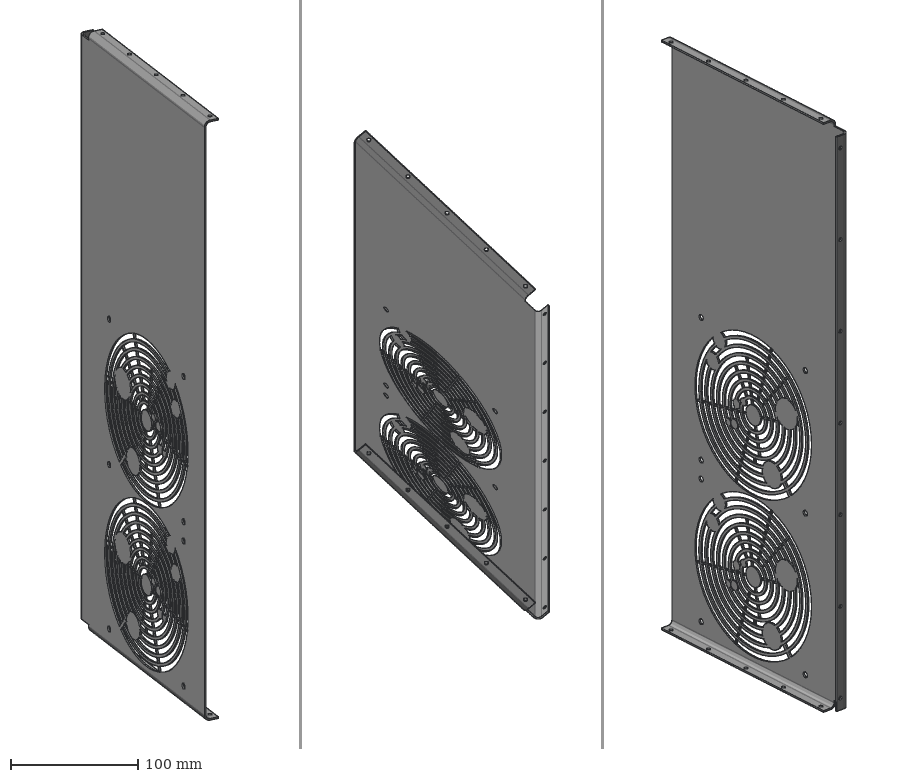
import cadquery as cq

WIDTH = 211.0
DEPTH = 12.5
HEIGHT = 517.0
SHEET = 1.5
BEND_OUTER_RADIUS = 5.0
BEND_INNER_RADIUS = BEND_OUTER_RADIUS - SHEET
THROUGH = 3 * SHEET

LEFT, RIGHT = -WIDTH / 2, WIDTH / 2
FRONT = -DEPTH / 2
TOP = HEIGHT / 2

RELIEF_WIDTH = 16.0
RELIEF_HEIGHT = 6.5

FLANGE_HOLE_DIAMETER = 3.0
FLANGE_HOLE_Y = 2.5
LEFT_HOLE_COUNT = 7
LEFT_HOLE_SPAN = 482.0
LEFT_HOLE_PITCH = LEFT_HOLE_SPAN / (LEFT_HOLE_COUNT - 1)
END_HOLE_COUNT = 5
END_HOLE_PITCH = 45.0
END_HOLES_X = (LEFT + RELIEF_WIDTH + RIGHT) / 2

FAN_X = 8.0
UPPER_FAN_Z = -37.5
FAN_PITCH = 141.5
MOUNT_HOLE_DIAMETER = 4.85
MOUNT_HOLE_SPACING = 125.0
LOWER_FAN_CORNERS = ((-1, -1), (1, -1), (1, 1))
UPPER_FAN_CORNERS = LOWER_FAN_CORNERS + ((-1, 1),)

GRILLE_DIAMETER = 140.0
GRILLE_RADIUS = GRILLE_DIAMETER / 2
SLOT_COUNT = 9
SLOT_WIDTH = 4.6
BAR_WIDTH = 2.5
SLOT_PITCH = SLOT_WIDTH + BAR_WIDTH

SPOKE_WIDTH = 1.3
WIDE_SPOKE_WIDTH = 3.0
SPOKES = (
    (58, SPOKE_WIDTH, 15.5, 41.5),
    (80, SPOKE_WIDTH, 8.0, 49.0),
    (108, SPOKE_WIDTH, 15.5, GRILLE_RADIUS),
    (130, SPOKE_WIDTH, 15.5, 63.0),
    (170, SPOKE_WIDTH, 8.0, 31.0),
    (231, WIDE_SPOKE_WIDTH, 57.0, GRILLE_RADIUS),
    (258, SPOKE_WIDTH, 8.0, 33.5),
    (268, SPOKE_WIDTH, 36.0, 42.5),
    (288, SPOKE_WIDTH, 15.5, GRILLE_RADIUS),
    (350, SPOKE_WIDTH, 8.0, GRILLE_RADIUS),
)

DISCS = (
    (-40.0, 16.0, 26.5),
    (-22.0, -44.0, 22.5),
    (41.0, 50.5, 15.0),
    (49.0, 29.5, 15.0),
    (20.0, 2.5, 8.5),
    (12.0, 7.0, 6.5),
    (22.5, -16.0, 8.5),
    (30.0, -17.0, 6.0),
)


def fan_plane():
    """Sketch plane just behind the front sheet; extrusions run through the sheet toward -Y."""
    return cq.Workplane("XZ", origin=(0, FRONT + 2 * SHEET, 0))


def left_strip():
    """Front sheet and left flange, extruded along Z between the corner reliefs."""
    length = HEIGHT - 2 * RELIEF_HEIGHT
    bend = "|Z and <X and <Y"
    block = cq.Workplane("XY", origin=(0, 0, -length / 2)).rect(WIDTH, DEPTH).extrude(length)
    outer = block.edges(bend).fillet(BEND_OUTER_RADIUS)
    inner = block.translate((SHEET, SHEET, 0)).edges(bend).fillet(BEND_INNER_RADIUS)
    return outer.cut(inner)


def main_strip():
    """Front sheet with the top and bottom flanges, extruded along X."""
    length = WIDTH - RELIEF_WIDTH
    bends = "|X and <Y"
    plane = cq.Workplane("YZ", origin=(LEFT + RELIEF_WIDTH, 0, 0))
    outer = plane.rect(DEPTH, HEIGHT).extrude(length).edges(bends).fillet(BEND_OUTER_RADIUS)
    hollow = plane.center(SHEET, 0).rect(DEPTH, HEIGHT - 2 * SHEET).extrude(length)
    return outer.cut(hollow.edges(bends).fillet(BEND_INNER_RADIUS))


def flange_holes():
    """Hole rows in the left flange and, in line, in the top and bottom flanges."""
    radius = FLANGE_HOLE_DIAMETER / 2
    left = (
        cq.Workplane("YZ", origin=(LEFT - SHEET, FLANGE_HOLE_Y, 0))
        .rarray(5, LEFT_HOLE_PITCH, 1, LEFT_HOLE_COUNT).circle(radius).extrude(THROUGH)
    )
    ends = (
        cq.Workplane("XY", origin=(END_HOLES_X, FLANGE_HOLE_Y, -TOP - SHEET))
        .rarray(END_HOLE_PITCH, 5, END_HOLE_COUNT, 1).circle(radius).extrude(HEIGHT + 2 * SHEET)
    )
    return left.union(ends)


def ring_slots():
    """Concentric ring-shaped cutters of equal width."""
    slots = fan_plane()
    for index in range(SLOT_COUNT):
        outer = GRILLE_RADIUS - index * SLOT_PITCH
        slots = slots.add(fan_plane().circle(outer).circle(outer - SLOT_WIDTH).extrude(THROUGH))
    return slots.combine()


def solid_web():
    """Spokes and discs where the sheet is left standing across the slots."""
    web = fan_plane()
    for angle, width, start, end in SPOKES:
        spoke = fan_plane().center((start + end) / 2, 0).rect(end - start, width).extrude(THROUGH)
        web = web.add(spoke.rotate((0, 0, 0), (0, 1, 0), -angle))
    for x, z, diameter in DISCS:
        web = web.add(fan_plane().center(x, z).circle(diameter / 2).extrude(THROUGH))
    return web.combine()


def mount_holes(corners):
    """Screw holes at the given corners of the square around a fan, as (x side, z side) signs."""
    offset = MOUNT_HOLE_SPACING / 2
    points = [(x_side * offset, z_side * offset) for x_side, z_side in corners]
    return fan_plane().pushPoints(points).circle(MOUNT_HOLE_DIAMETER / 2).extrude(THROUGH)


grille_slots = ring_slots().cut(solid_web())
upper_fan = (FAN_X, 0, UPPER_FAN_Z)
lower_fan = (FAN_X, 0, UPPER_FAN_Z - FAN_PITCH)

result = left_strip().union(main_strip()).cut(flange_holes())
result = result.cut(grille_slots.translate(upper_fan))
result = result.cut(grille_slots.translate(lower_fan))
result = result.cut(mount_holes(UPPER_FAN_CORNERS).translate(upper_fan))
result = result.cut(mount_holes(LOWER_FAN_CORNERS).translate(lower_fan))